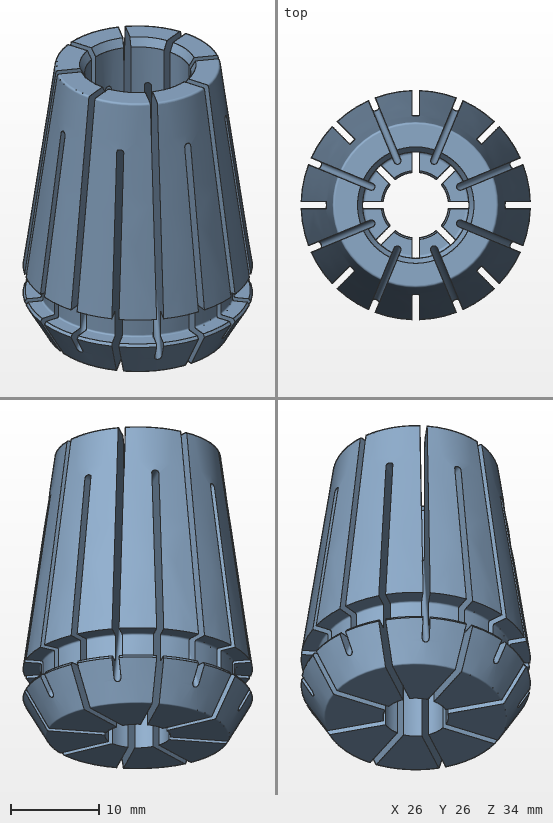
import cadquery as cq
import math

height = 34.0
max_radius = 13.0
taper_angle = 8.0
nose_angle = 30.0
bottom_radius = 10.35
bottom_round = 0.2
taper_bottom = 8.13
top_round = 0.27

groove_radius = 11.05
groove_bottom = 4.93
groove_round = 0.2
flange_bevel = 0.25

clamp_radius = 3.7
clamp_bevel = 0.2
relief_radius = 6.02
relief_floor = 18.1
relief_round = 0.35
mouth_radius = 6.6
mouth_depth = 1.0

slot_count = 8
slot_width = 0.8
low_slot_top = 28.45
floor_radius = 5.47
floor_angle = 67.5

slot_reach = max_radius + slot_width
slot_pitch = 360.0 / slot_count


def turned(points):
    """Revolve a closed (radius, height) outline about Z."""
    return cq.Workplane("XZ").polyline(points).close().revolve(360, (0, 0), (0, 1))


def ring_edges(radius, level):
    """Select the one circular edge with a given radius and height."""
    slack = 0.05

    def box(size):
        return cq.selectors.BoxSelector(
            (-size, -size, level - slack), (size, size, level + slack), boundingbox=True
        )

    return box(radius + slack) - box(radius - slack)


def make_body():
    """Tapered collet body with the nut groove and the stepped bore."""
    top_radius = max_radius - (height - taper_bottom) * math.tan(math.radians(taper_angle))
    flange_edge = (max_radius - bottom_radius) / math.tan(math.radians(nose_angle))
    body = turned([
        (clamp_radius, 0),
        (bottom_radius, 0),
        (max_radius, flange_edge),
        (max_radius - flange_bevel, groove_bottom),
        (groove_radius, groove_bottom),
        (groove_radius, taper_bottom),
        (max_radius, taper_bottom),
        (top_radius, height),
        (mouth_radius, height),
        (relief_radius, height - mouth_depth),
        (relief_radius, relief_floor),
        (clamp_radius + clamp_bevel, relief_floor),
        (clamp_radius, relief_floor - clamp_bevel),
    ])
    for radius, level, rounding in (
        (groove_radius, groove_bottom, groove_round),
        (groove_radius, taper_bottom, groove_round),
        (relief_radius, relief_floor, relief_round),
        (bottom_radius, 0, bottom_round),
        (top_radius, height, top_round),
    ):
        body = body.edges(ring_edges(radius, level)).fillet(rounding)
    return body


def low_slot():
    """Radial slot along +X, open at the bottom, with a round upper end."""
    half = slot_width / 2
    shoulder = low_slot_top - half
    return (
        cq.Workplane("YZ")
        .moveTo(-half, 0)
        .lineTo(half, 0)
        .lineTo(half, shoulder)
        .threePointArc((0, low_slot_top), (-half, shoulder))
        .close()
        .extrude(slot_reach)
    )


def high_slot():
    """Radial slot along +X, open at the top, with a round floor that drops outwards."""
    slope = math.tan(math.radians(floor_angle))

    def axis_radius(level):
        return floor_radius + (relief_floor - level) / slope

    bottom = -slot_width
    top = height + slot_width
    slab = (
        cq.Workplane("XZ")
        .polyline([
            (axis_radius(top), top),
            (axis_radius(bottom), bottom),
            (slot_reach, bottom),
            (slot_reach, top),
        ])
        .close()
        .extrude(slot_width / 2, both=True)
    )
    start = cq.Vector(axis_radius(bottom), 0, bottom)
    end = cq.Vector(axis_radius(top), 0, top)
    run = end - start
    floor = cq.Solid.makeCylinder(slot_width / 2, run.Length, start, run)
    return slab.union(cq.Workplane(floor))


result = make_body()
for index in range(slot_count):
    angle = index * slot_pitch
    result = result.cut(low_slot().rotate((0, 0, 0), (0, 0, 1), angle))
    result = result.cut(high_slot().rotate((0, 0, 0), (0, 0, 1), angle + slot_pitch / 2))